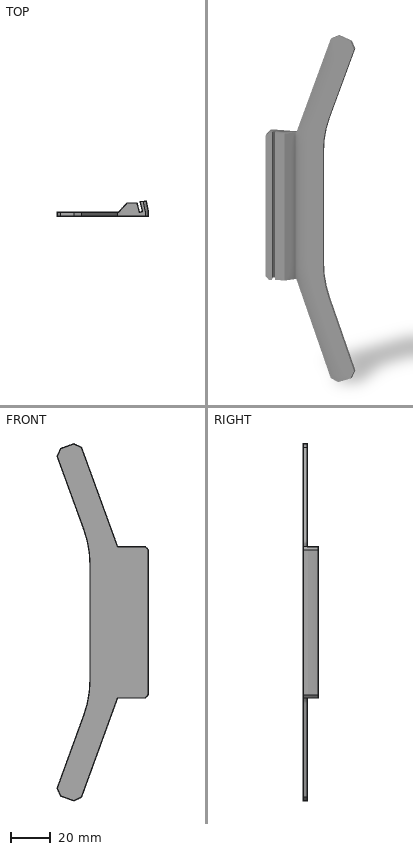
import cadquery as cq
import math

length = 180.6
width = 46.2
depth = 7.8
half_length = length / 2
right_x = width / 2
left_x = -right_x

plate_thickness = 2.2
arm_angle = math.radians(20)
arm_width = 13.2
tip_chamfer = 3.0
spine_x = left_x + 16.6
bend_radius = 52.0

rail_half_length = 38.3
rail_start_x = right_x - 15.2
rail_height = 6.9
rail_flat_start_x = right_x - 10.8
rail_flat_end_x = right_x - 5.8
slot_floor_left_y = 2.2
slot_floor_right_y = 2.5
slot_left_x = right_x - 4.5
slot_right_x = right_x - 3.0
lip_bend_y = 2.5
lip_inner_top = (right_x - 4.3, depth - 0.2)
lip_outer_top_x = right_x - 1.0
end_chamfer = 1.6

along_x = -math.sin(arm_angle)
along_z = math.cos(arm_angle)
across_x = math.cos(arm_angle)
across_z = math.sin(arm_angle)

outer_edge = (left_x - spine_x) / along_x
arm_reach = outer_edge + tip_chamfer
bend_z = half_length - arm_reach * along_z - (arm_width - tip_chamfer) * across_z


def arm_point(along, across):
    """Point measured from the sharp bend corner, along and across the arm."""
    x = spine_x + along * along_x + across * across_x
    z = bend_z + along * along_z + across * across_z
    return x, z


def make_half_plate():
    """Upper half of the plate, from Z = 0 to the arm tip."""
    tangent = bend_radius * math.tan(arm_angle / 2)
    bend_middle = (
        spine_x - bend_radius * (1 - math.cos(arm_angle / 2)),
        bend_z - tangent + bend_radius * math.sin(arm_angle / 2),
    )
    inner_edge_start = arm_point(0, arm_width)
    notch_x = inner_edge_start[0] + (inner_edge_start[1] - rail_half_length) * math.tan(arm_angle)
    return (
        cq.Workplane("XZ")
        .moveTo(right_x, 0)
        .lineTo(spine_x, 0)
        .lineTo(spine_x, bend_z - tangent)
        .threePointArc(bend_middle, arm_point(tangent, 0))
        .lineTo(*arm_point(outer_edge, 0))
        .lineTo(*arm_point(arm_reach, tip_chamfer))
        .lineTo(*arm_point(arm_reach, arm_width - tip_chamfer))
        .lineTo(*arm_point(outer_edge, arm_width))
        .lineTo(notch_x, rail_half_length)
        .lineTo(right_x, rail_half_length)
        .close()
        .extrude(-plate_thickness)
    )


def make_rail():
    """Ramped rail with a slanted slot and lip, running along Z."""
    profile = [
        (rail_start_x, 0),
        (rail_start_x, plate_thickness),
        (rail_flat_start_x, rail_height),
        (rail_flat_end_x, rail_height),
        (slot_left_x, slot_floor_left_y),
        (slot_right_x, slot_floor_right_y),
        lip_inner_top,
        (lip_outer_top_x, depth),
        (right_x, lip_bend_y),
        (right_x, 0),
    ]
    return cq.Workplane("XY").polyline(profile).close().extrude(rail_half_length, both=True)


def make_end_cutter():
    """Wedge that bevels the upper end of the right edge, following the lip's slant."""
    lip_lean = right_x - lip_outer_top_x

    def bevel_outline(y):
        corners = [
            (right_x - end_chamfer, rail_half_length),
            (right_x + end_chamfer, rail_half_length),
            (right_x + end_chamfer, rail_half_length - 2 * end_chamfer),
            (right_x, rail_half_length - end_chamfer),
        ]
        return cq.Workplane("XZ", origin=(0, y, 0)).polyline(corners).close()

    base = bevel_outline(0).extrude(-lip_bend_y)
    path = cq.Workplane("XY", origin=(right_x, lip_bend_y, 0)).lineTo(-lip_lean, depth - lip_bend_y)
    slanted = bevel_outline(lip_bend_y).sweep(path)
    return base.union(slanted)


half_plate = make_half_plate()
end_cutter = make_end_cutter()
result = half_plate.union(half_plate.mirror("XY")).union(make_rail())
result = result.cut(end_cutter).cut(end_cutter.mirror("XY")).clean()